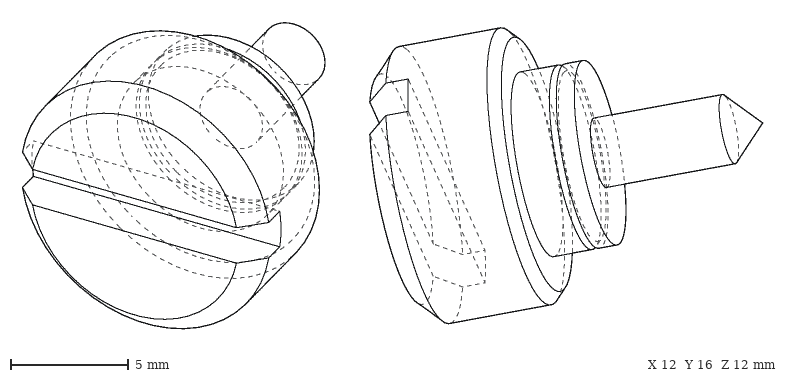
import cadquery as cq

total_length = 16.0

knob_diameter = 12.0
knob_length = 6.0
front_chamfer = 1.0
rear_chamfer = 0.5
neck_diameter = 8.0
neck_length = 2.0
neck_chamfer = 0.3
slot_width = 1.8
slot_depth = 2.0

flange_thickness = 0.8
pin_diameter = 3.0

front_y = -total_length / 2
knob_rear_y = front_y + knob_length
neck_rear_y = knob_rear_y + neck_length
flange_rear_y = neck_rear_y + flange_thickness
tip_y = total_length / 2


def revolve_profile(points):
    """Revolve a closed (radius, y) profile around the Y axis."""
    return cq.Workplane("XY").polyline(points).close().revolve(360, (0, 0, 0), (0, 1, 0))


def make_knob():
    """Chamfered knob and neck with a screwdriver slot across the front."""
    knob_radius = knob_diameter / 2
    neck_radius = neck_diameter / 2
    body = revolve_profile([
        (0, front_y),
        (knob_radius - front_chamfer, front_y),
        (knob_radius, front_y + front_chamfer),
        (knob_radius, knob_rear_y - rear_chamfer),
        (knob_radius - rear_chamfer, knob_rear_y),
        (neck_radius, knob_rear_y),
        (neck_radius, neck_rear_y - neck_chamfer),
        (neck_radius - neck_chamfer, neck_rear_y),
        (0, neck_rear_y),
    ])
    slot = cq.Workplane("XY").box(
        knob_diameter, slot_depth, slot_width, centered=(True, False, True)
    ).translate((0, front_y, 0))
    return body.cut(slot)


def make_pin():
    """Pin with a 90 degree point and a flange seated on the neck."""
    pin_radius = pin_diameter / 2
    flange_radius = neck_diameter / 2
    return revolve_profile([
        (0, neck_rear_y),
        (flange_radius, neck_rear_y),
        (flange_radius, flange_rear_y),
        (pin_radius, flange_rear_y),
        (pin_radius, tip_y - pin_radius),
        (0, tip_y),
    ])


knob = make_knob()
pin = make_pin()

result = cq.Compound.makeCompound([knob.val(), pin.val()])